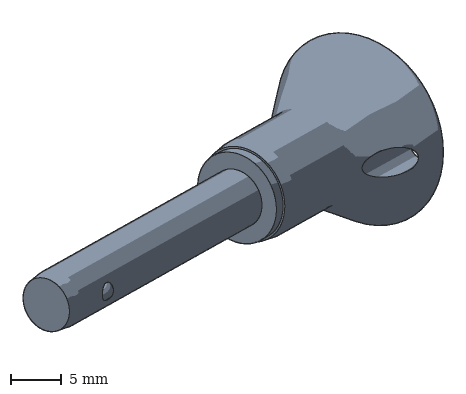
import cadquery as cq
import math

total_length = 53.0
head_length = 21.05
back_y = head_length
tip_y = head_length - total_length

head_radius = 20.0 / 2
flare_angle = math.radians(30)
rim_round = 0.4
neck_round = 1.8

sleeve_radius = 5.2
sleeve_taper_length = 1.6
sleeve_end_radius = 5.0
collar_radius = 4.75
collar_length = 1.1

shank_radius = 3.0
tip_radius = 2.8
tip_taper_length = 1.75

ball_radius = 1.0
ball_reach = 3.5
ball_tip_distance = 6.1

ring_hole_diameter = 3.0
ring_hole_offset = 7.2


def arc_point(center, radius, angle):
    return (center[0] + radius * math.cos(angle), center[1] + radius * math.sin(angle))


def turned_body():
    """Solid of revolution; profile points are (radius, Y)."""
    rim_center = (head_radius - rim_round, back_y - rim_round)
    rim_start = arc_point(rim_center, rim_round, -flare_angle)
    rim_middle = arc_point(rim_center, rim_round, (math.pi / 2 - flare_angle) / 2)
    rim_end = (rim_center[0], back_y)

    neck_center_radius = sleeve_radius + neck_round
    cone_start_radius = neck_center_radius - neck_round * math.cos(flare_angle)
    cone_length = (rim_start[0] - cone_start_radius) / math.tan(flare_angle)
    cone_start_y = rim_start[1] - cone_length
    neck_center = (neck_center_radius, cone_start_y - neck_round * math.sin(flare_angle))
    neck_start = (sleeve_radius, neck_center[1])
    neck_middle = arc_point(neck_center, neck_round, math.pi - flare_angle / 2)
    cone_start = (cone_start_radius, cone_start_y)

    return (
        cq.Workplane("XY")
        .moveTo(0, tip_y)
        .lineTo(tip_radius, tip_y)
        .lineTo(shank_radius, tip_y + tip_taper_length)
        .lineTo(shank_radius, 0)
        .lineTo(collar_radius, 0)
        .lineTo(collar_radius, collar_length)
        .lineTo(sleeve_end_radius, collar_length)
        .lineTo(sleeve_radius, collar_length + sleeve_taper_length)
        .lineTo(*neck_start)
        .threePointArc(neck_middle, cone_start)
        .lineTo(*rim_start)
        .threePointArc(rim_middle, rim_end)
        .lineTo(0, back_y)
        .close()
        .revolve(360, (0, 0, 0), (0, 1, 0))
    )


def locking_ball(side):
    center_x = side * (ball_reach - ball_radius)
    ball_y = tip_y + ball_tip_distance
    return cq.Workplane("XY").sphere(ball_radius).translate((center_x, ball_y, 0))


def ring_hole():
    """Cutter from the collar face to the back of the head, outside the sleeve."""
    return (
        cq.Workplane("XZ")
        .center(ring_hole_offset, 0)
        .circle(ring_hole_diameter / 2)
        .extrude(-head_length)
    )


result = turned_body().cut(ring_hole())
for side in (-1, 1):
    result = result.union(locking_ball(side))